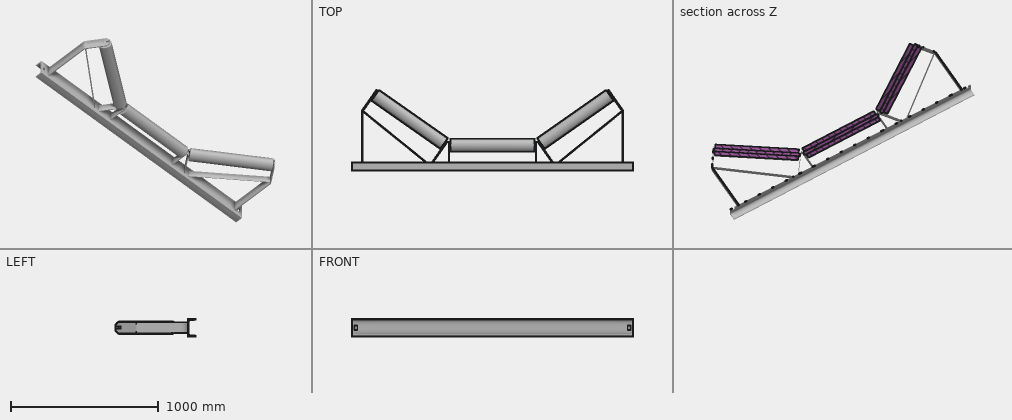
import cadquery as cq
import math

BEAM_LENGTH = 1900.0
BEAM_HEIGHT = 120.0
BEAM_DEPTH = 55.0
WEB_THICKNESS = 7.0
FLANGE_TIP_THICKNESS = 6.8
FLANGE_TAPER = 0.08
FLANGE_ROOT_RADIUS = 9.0
FLANGE_TIP_RADIUS = 4.5
MOUNT_SLOT_WIDTH = 17.0
MOUNT_SLOT_HEIGHT = 28.0
MOUNT_SLOT_INSET = 27.0

TROUGH_ANGLE = 35.0
ROLLER_DIAMETER = 90.0
ROLLER_LENGTH = 570.0
ROLLER_END_RADIUS = 5.0
CENTRE_ROLLER_Y = 171.0
WING_INNER_X = 327.0
WING_INNER_Y = 182.0

SHAFT_DIAMETER = 20.0
FLAT_WIDTH = 17.0
SLOT_CUT_DEPTH = 57.0

INNER_PLATE_THICKNESS = 5.3
OUTER_PLATE_THICKNESS = 8.0
INNER_BRACKET_WIDTH = 57.0
OUTER_BRACKET_WIDTH = 75.0
INNER_BRACKET_TOP_Y = 195.0
INNER_GAP = 5.0
OUTER_GAP = 5.0
OUTER_POST_X = 885.0
OUTER_BEND_RADIUS = 17.0
TIP_CHAMFER_ACROSS = 17.0
TIP_CHAMFER_ALONG = 20.0
OUTER_TIP_Y = 545.0
BRACE_WIDTH = 53.0
BRACE_THICKNESS = 4.0
BRACE_TOP_Y = 405.0
BRACE_FOOT_X = 445.0

COS = math.cos(math.radians(TROUGH_ANGLE))
SIN = math.sin(math.radians(TROUGH_ANGLE))
TAN = SIN / COS


def wing_point(along, across):
    """Point on the +X side: along the wing axis from the roller's inner end, and square to it."""
    return (WING_INNER_X + along * COS - across * SIN, WING_INNER_Y + along * SIN + across * COS)


def wing_point_at_y(along, y):
    """Point at height y on the line square to the wing axis at the given place along it."""
    start_x, start_y = wing_point(along, 0)
    return (start_x - (y - start_y) * TAN, y)


def plate(points, width):
    """Outline in the XY plane made into a plate of the given width, centred on Z = 0."""
    return cq.Workplane("XY").polyline(points).close().extrude(width / 2, both=True)


def place_on_wing(body):
    """Move a body built along +X from the origin onto the +X wing axis."""
    turned = body.rotate((0, 0, 0), (0, 0, 1), TROUGH_ANGLE)
    return turned.translate((WING_INNER_X, WING_INNER_Y, 0))


def mirrored(body):
    """Copy of a +X side body on the -X side."""
    return body.mirror("YZ")


def make_beam():
    """Channel along X with rounded flange roots and tips and a mounting slot near each end."""
    half = BEAM_HEIGHT / 2
    web_face_y = BEAM_DEPTH - WEB_THICKNESS
    tip_z = half - FLANGE_TIP_THICKNESS
    root_z = tip_z - FLANGE_TAPER * web_face_y
    profile = [
        (0, half), (BEAM_DEPTH, half), (BEAM_DEPTH, -half), (0, -half),
        (0, -tip_z), (web_face_y, -root_z), (web_face_y, root_z), (0, tip_z),
    ]
    beam = cq.Workplane("YZ").polyline(profile).close().extrude(BEAM_LENGTH / 2, both=True)
    for y, z, radius in ((web_face_y, root_z, FLANGE_ROOT_RADIUS), (0, tip_z, FLANGE_TIP_RADIUS)):
        for side in (-1, 1):
            edge = cq.selectors.NearestToPointSelector((0, y, side * z))
            beam = beam.edges("|X").edges(edge).fillet(radius)
    slot_x = BEAM_LENGTH / 2 - MOUNT_SLOT_INSET
    slots = (
        cq.Workplane("XZ").pushPoints([(-slot_x, 0), (slot_x, 0)])
        .rect(MOUNT_SLOT_WIDTH, MOUNT_SLOT_HEIGHT).extrude(-BEAM_DEPTH)
    )
    return beam.cut(slots)


def shaft_slot(start, length):
    """Cutter along +X for an open slot whose floor lies under the shaft."""
    return (
        cq.Workplane("XY").box(length, SLOT_CUT_DEPTH, FLAT_WIDTH, centered=(False, False, True))
        .translate((start, -SHAFT_DIAMETER / 2, 0))
    )


def make_inner_bracket():
    """Vertical post, short level top and a leg square to the wing axis."""
    post_face_x = ROLLER_LENGTH / 2 + INNER_GAP
    post_back_x = post_face_x + INNER_PLATE_THICKNESS
    leg_face = -INNER_GAP
    leg_back = leg_face - INNER_PLATE_THICKNESS
    under_top_y = INNER_BRACKET_TOP_Y - INNER_PLATE_THICKNESS
    outline = [
        (post_face_x, BEAM_DEPTH),
        (post_face_x, INNER_BRACKET_TOP_Y),
        wing_point_at_y(leg_face, INNER_BRACKET_TOP_Y),
        wing_point_at_y(leg_face, BEAM_DEPTH),
        wing_point_at_y(leg_back, BEAM_DEPTH),
        wing_point_at_y(leg_back, under_top_y),
        (post_back_x, under_top_y),
        (post_back_x, BEAM_DEPTH),
    ]
    post_slot = shaft_slot(post_face_x, INNER_PLATE_THICKNESS).translate((0, CENTRE_ROLLER_Y, 0))
    leg_slot = place_on_wing(shaft_slot(leg_back, INNER_PLATE_THICKNESS))
    return plate(outline, INNER_BRACKET_WIDTH).cut(post_slot).cut(leg_slot)


def make_outer_bracket():
    """Post bent inward to lie square to the wing axis, with a chamfered and slotted tip."""
    face = ROLLER_LENGTH + OUTER_GAP
    back = face + OUTER_PLATE_THICKNESS
    post_inner_x = OUTER_POST_X - OUTER_PLATE_THICKNESS
    back_x, back_y = wing_point(back, 0)
    face_x, face_y = wing_point(face, 0)
    bend_outer = (OUTER_POST_X, back_y - (OUTER_POST_X - back_x) / TAN)
    bend_inner = (post_inner_x, face_y - (post_inner_x - face_x) / TAN)
    tip_across = (OUTER_TIP_Y - back_y) / COS
    outline = [
        (OUTER_POST_X, BEAM_DEPTH), bend_outer, wing_point(back, tip_across),
        wing_point(face, tip_across), bend_inner, (post_inner_x, BEAM_DEPTH),
    ]
    bracket = plate(outline, OUTER_BRACKET_WIDTH)
    for point, radius in (
        (bend_outer, OUTER_BEND_RADIUS),
        (bend_inner, OUTER_BEND_RADIUS - OUTER_PLATE_THICKNESS),
    ):
        edge = cq.selectors.NearestToPointSelector((*point, 0))
        bracket = bracket.edges("|Z").edges(edge).fillet(radius)
    for side in (-1, 1):
        corner_cut = (
            cq.Workplane("YZ")
            .polyline([
                (tip_across, side * OUTER_BRACKET_WIDTH / 2),
                (tip_across - TIP_CHAMFER_ALONG, side * OUTER_BRACKET_WIDTH / 2),
                (tip_across, side * (OUTER_BRACKET_WIDTH / 2 - TIP_CHAMFER_ACROSS)),
            ])
            .close().extrude(OUTER_PLATE_THICKNESS).translate((face, 0, 0))
        )
        bracket = bracket.cut(place_on_wing(corner_cut))
    return bracket.cut(place_on_wing(shaft_slot(face, OUTER_PLATE_THICKNESS)))


def make_brace():
    """Flat strip from the top of the outer post down to the beam."""
    top_x = OUTER_POST_X - OUTER_PLATE_THICKNESS
    slope = math.atan2(BRACE_TOP_Y - BEAM_DEPTH, top_x - BRACE_FOOT_X)
    outline = [
        (BRACE_FOOT_X, BEAM_DEPTH),
        (BRACE_FOOT_X + BRACE_THICKNESS / math.sin(slope), BEAM_DEPTH),
        (top_x, BRACE_TOP_Y - BRACE_THICKNESS / math.cos(slope)),
        (top_x, BRACE_TOP_Y),
    ]
    return plate(outline, BRACE_WIDTH)


def make_frame():
    """Beam, brackets and braces welded into one body."""
    frame = make_beam()
    for part in (make_inner_bracket(), make_outer_bracket(), make_brace()):
        frame = frame.union(part).union(mirrored(part))
    return frame


def make_roller():
    """Roller along +X from the origin, rounded at both rims and bored for its shaft."""
    shell = cq.Workplane("YZ").circle(ROLLER_DIAMETER / 2).extrude(ROLLER_LENGTH)
    shell = shell.faces("<X or >X").edges().fillet(ROLLER_END_RADIUS)
    bore = cq.Workplane("YZ").circle(SHAFT_DIAMETER / 2).extrude(ROLLER_LENGTH)
    return shell.cut(bore)


def make_shaft(inner_reach, outer_reach):
    """Shaft along +X, flattened where it stands out of the roller at each end."""
    length = ROLLER_LENGTH + inner_reach + outer_reach
    shaft = cq.Workplane("YZ").circle(SHAFT_DIAMETER / 2).extrude(length).translate((-inner_reach, 0, 0))
    for start, reach in ((-inner_reach, inner_reach), (ROLLER_LENGTH, outer_reach)):
        for side in (-1, 1):
            waste = (
                cq.Workplane("XY").box(reach, SHAFT_DIAMETER, SHAFT_DIAMETER, centered=(False, True, True))
                .translate((start, 0, side * (FLAT_WIDTH + SHAFT_DIAMETER) / 2))
            )
            shaft = shaft.cut(waste)
    return shaft


frame = make_frame()

centre_shift = (-ROLLER_LENGTH / 2, CENTRE_ROLLER_Y, 0)
inner_reach = INNER_GAP + INNER_PLATE_THICKNESS
outer_reach = OUTER_GAP + OUTER_PLATE_THICKNESS

wing_roller = place_on_wing(make_roller())
rollers = [make_roller().translate(centre_shift), wing_roller, mirrored(wing_roller)]

wing_shaft = place_on_wing(make_shaft(inner_reach, outer_reach))
centre_shaft = make_shaft(inner_reach, inner_reach).translate(centre_shift)
shafts = [centre_shaft, wing_shaft, mirrored(wing_shaft)]

result = cq.Compound.makeCompound([body.val() for body in [frame, *rollers, *shafts]])